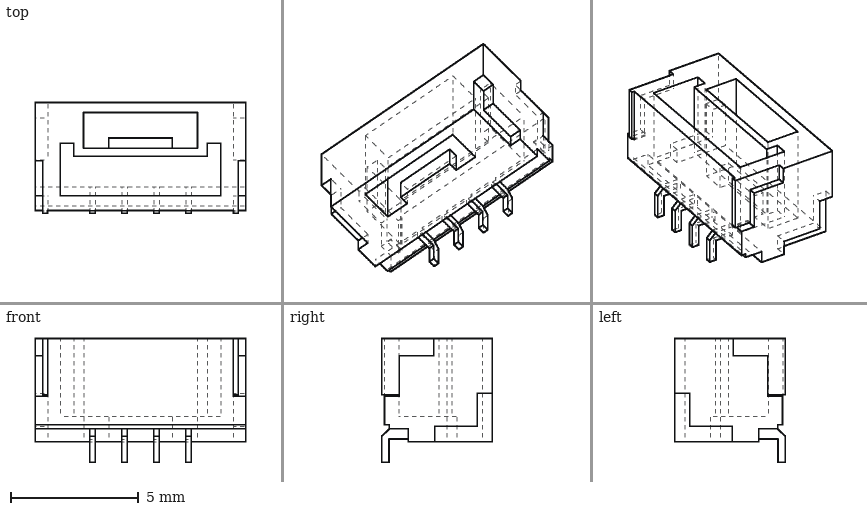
import cadquery as cq

width = 8.25
depth = 4.24
height = 4.05
front = -depth
total_depth = 4.35
total_height = 4.85
contact_front = -total_depth

underside_front = -3.31
front_step_y = -4.05
front_step_z = 0.5
front_lip_z = 0.66

recess_depth = 0.49
tab_thickness = 0.2
tab_back = -2.29
tab_leg_back = -3.655
tab_arm_height = 0.67
tab_height = 2.21
tab_gap = 0.05
lower_recess_height = 1.905
lower_leg_front = -0.59
lower_arm_height = 0.61
lower_arm_front = -2.25

window_width = 4.455
window_back = -0.405
window_front = -1.79
ledge_width = 2.49
ledge_projection = 0.4
ledge_height = 1.0

pocket_width = 6.27
pocket_inner_width = 5.25
pocket_floor = 1.0
pocket_front = -3.66
pocket_back = -2.1
ear_back = -1.6

pin_count = 4
pin_pitch = 1.25
pin_width = 0.22
pin_leg_depth = 0.3
pin_arm_bottom = 0.11
pin_bevel_height = 0.29


def prism_x(points, x_start, x_length):
    """Extrude a closed Y-Z outline along +X."""
    return cq.Workplane("YZ", origin=(x_start, 0, 0)).polyline(points).close().extrude(x_length)


def centred_box(x_size, y_min, y_max, z_min, z_max):
    """Make a box centred on X."""
    size_y = y_max - y_min
    size_z = z_max - z_min
    box = cq.Workplane("XY").box(x_size, size_y, size_z, centered=(True, False, False))
    return box.translate((0, y_min, z_min))


def both_ends(solid):
    """Join a left-end solid with its mirror image at the right end."""
    return solid.union(solid.mirror("YZ"))


def tab_outline(front_y, bottom_z):
    """Upper L: an arm along the top edge and a leg down the front edge."""
    arm_z = height - tab_arm_height
    return [
        (tab_back, height),
        (front_y, height),
        (front_y, bottom_z),
        (tab_leg_back, bottom_z),
        (tab_leg_back, arm_z),
        (tab_back, arm_z),
    ]


def make_housing():
    outline = [
        (0, 0),
        (0, height),
        (front, height),
        (front, front_lip_z),
        (front_step_y, front_lip_z),
        (front_step_y, front_step_z),
        (underside_front, front_step_z),
        (underside_front, 0),
    ]
    return prism_x(outline, -width / 2, width)


def make_end_recesses():
    tab_bottom = height - tab_height
    upper = prism_x(tab_outline(front, tab_bottom - tab_gap), -width / 2, recess_depth)
    lower_outline = [
        (0, 0),
        (0, lower_recess_height),
        (lower_leg_front, lower_recess_height),
        (lower_leg_front, lower_arm_height),
        (lower_arm_front, lower_arm_height),
        (lower_arm_front, 0),
    ]
    lower = prism_x(lower_outline, -width / 2, recess_depth)
    return both_ends(upper.union(lower))


def make_tabs():
    """Metal tabs lying against the floors of the upper recesses."""
    outline = tab_outline(contact_front, height - tab_height)
    tab_x = -width / 2 + recess_depth - tab_thickness
    return both_ends(prism_x(outline, tab_x, tab_thickness))


def make_pocket():
    main = centred_box(pocket_width, pocket_front, pocket_back, pocket_floor, height)
    ears = centred_box(pocket_width, pocket_back, ear_back, pocket_floor, height)
    divider = centred_box(pocket_inner_width, pocket_back, ear_back, pocket_floor, height)
    return main.union(ears.cut(divider))


def make_pins():
    leg_back = contact_front + pin_leg_depth
    outline = [
        (underside_front, pin_arm_bottom),
        (underside_front, front_step_z),
        (leg_back, front_step_z),
        (contact_front, front_step_z - pin_bevel_height),
        (contact_front, height - total_height),
        (leg_back, height - total_height),
        (leg_back, pin_arm_bottom),
    ]
    pins = cq.Workplane("XY")
    for index in range(pin_count):
        pin_center = (index - (pin_count - 1) / 2) * pin_pitch
        pins = pins.add(prism_x(outline, pin_center - pin_width / 2, pin_width))
    return pins.combine()


window = centred_box(window_width, window_front, window_back, 0, height)
ledge = centred_box(ledge_width, window_front, window_front + ledge_projection, 0, ledge_height)

result = make_housing().cut(make_end_recesses()).cut(window).cut(make_pocket())
result = result.union(ledge).union(make_tabs()).union(make_pins())